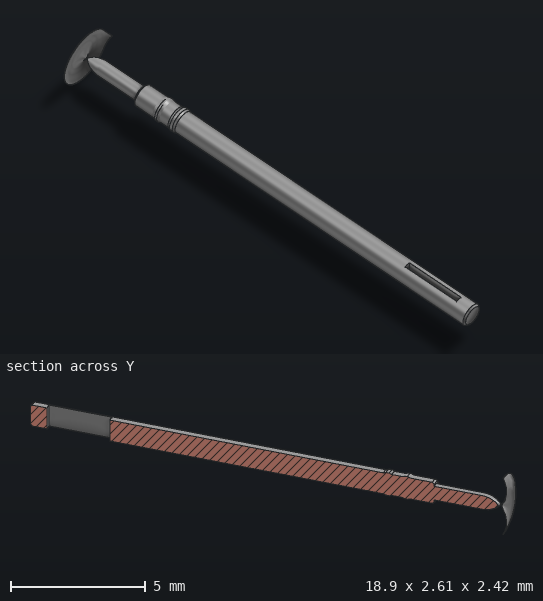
import cadquery as cq
import math

total_length = 18.9

head_radius = 1.21
spout_reach = 1.4
crest_radius = spout_reach / 2
spout_setback = 0.28
sheet_thickness = 0.02
funnel_depth = 0.25

nose_tip_x = 0.28
nose_end_x = 0.98
plunger_radius = 0.32
neck_start_x = 0.23
neck_radius = 0.04

barrel_start_x = 2.87
barrel_radius = 0.47
bevel = 0.08

first_ring_x = 3.99
second_ring_x = 4.72
ring_radius = 0.51
ring_base_width = 0.34
first_ring_crest_width = 0.1
second_ring_crest_width = 0.13

slot_start_x = 15.75
slot_end_x = 18.24
slot_width = 0.25


def revolve_about_x(outline):
    return outline.close().revolve(360, (0, 0, 0), (1, 0, 0))


def make_head():
    dish = revolve_about_x(
        cq.Workplane("XY")
        .moveTo(funnel_depth, 0)
        .threePointArc((0, crest_radius), (spout_setback, spout_reach))
        .lineTo(spout_setback + sheet_thickness, spout_reach)
        .threePointArc(
            (sheet_thickness, crest_radius),
            (funnel_depth + sheet_thickness, 0),
        )
    )
    tangent_angle = math.acos(head_radius / spout_reach)
    tangent_y = head_radius * math.cos(tangent_angle)
    tangent_z = head_radius * math.sin(tangent_angle)
    teardrop = (
        cq.Workplane("YZ")
        .moveTo(spout_reach, 0)
        .lineTo(tangent_y, tangent_z)
        .threePointArc((-head_radius, 0), (tangent_y, -tangent_z))
        .close()
        .extrude(spout_setback + funnel_depth)
    )
    return dish.intersect(teardrop)


def make_plunger():
    nose_length = nose_end_x - nose_tip_x
    rise = plunger_radius - neck_radius
    arc_radius = (nose_length**2 + rise**2) / (2 * rise)
    half_sweep = math.asin(nose_length / arc_radius) / 2
    arc_mid = (
        nose_end_x - arc_radius * math.sin(half_sweep),
        plunger_radius - arc_radius * (1 - math.cos(half_sweep)),
    )
    return revolve_about_x(
        cq.Workplane("XY")
        .moveTo(neck_start_x, 0)
        .lineTo(neck_start_x, neck_radius)
        .lineTo(nose_tip_x, neck_radius)
        .threePointArc(arc_mid, (nose_end_x, plunger_radius))
        .lineTo(barrel_start_x, plunger_radius)
        .lineTo(barrel_start_x, 0)
    )


def make_barrel():
    return (
        cq.Workplane("YZ", origin=(barrel_start_x, 0, 0))
        .circle(barrel_radius)
        .extrude(total_length - barrel_start_x)
        .edges()
        .chamfer(bevel)
    )


def make_ring(center_x, crest_width):
    half_base = ring_base_width / 2
    half_crest = crest_width / 2
    return revolve_about_x(
        cq.Workplane("XY")
        .moveTo(center_x - half_base, 0)
        .lineTo(center_x - half_base, barrel_radius)
        .lineTo(center_x - half_crest, ring_radius)
        .lineTo(center_x + half_crest, ring_radius)
        .lineTo(center_x + half_base, barrel_radius)
        .lineTo(center_x + half_base, 0)
    )


def make_slot():
    length = slot_end_x - slot_start_x
    return cq.Workplane("XY").box(length, slot_width, 2 * barrel_radius).translate(
        (slot_start_x + length / 2, 0, 0)
    )


result = make_barrel()
result = result.union(make_ring(first_ring_x, first_ring_crest_width))
result = result.union(make_ring(second_ring_x, second_ring_crest_width))
result = result.union(make_plunger()).union(make_head()).cut(make_slot())